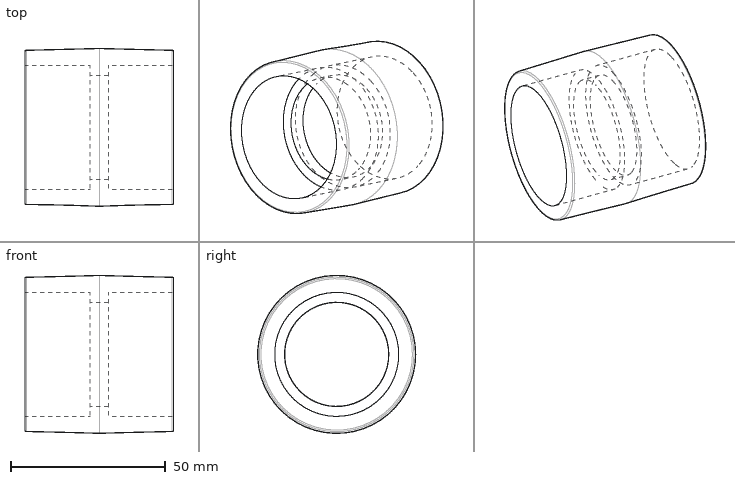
import cadquery as cq

length = 48.0
middle_diameter = 51.0
end_diameter = 49.8
end_edge_radius = 0.5

socket_diameter = 40.0
stop_diameter = 33.5
stop_width = 6.0
socket_depth = (length - stop_width) / 2


def tapered_body():
    """Two mirrored cones, widest at mid-length, with rounded end edges."""
    half_length = length / 2
    body = (
        cq.Workplane("XY")
        .moveTo(-half_length, 0)
        .lineTo(-half_length, end_diameter / 2)
        .lineTo(0, middle_diameter / 2)
        .lineTo(half_length, end_diameter / 2)
        .lineTo(half_length, 0)
        .close()
        .revolve(360, (0, 0, 0), (1, 0, 0))
    )
    return body.faces("<X or >X").edges().fillet(end_edge_radius)


def bore(diameter, depth, start_x):
    """Cylinder along +X beginning at start_x."""
    return cq.Workplane("YZ").workplane(offset=start_x).circle(diameter / 2).extrude(depth)


result = tapered_body().cut(bore(stop_diameter, length, -length / 2))
for socket_start in (-length / 2, stop_width / 2):
    result = result.cut(bore(socket_diameter, socket_depth, socket_start))